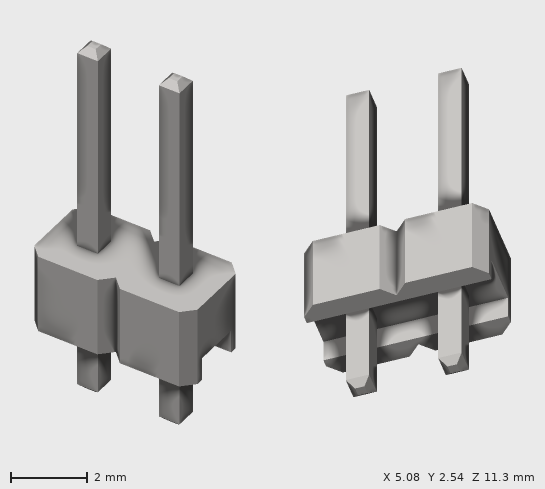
import cadquery as cq

pin_count = 2
pitch = 2.54

pin_length = 11.3
pin_width = 0.64
tip_width = 0.26
tip_height = 0.19
collar_width = 1.4

housing_bottom = 2.3
housing_height = 2.45
corner_chamfer = 0.35
slot_height = 0.71
slot_width = collar_width

housing_top = housing_bottom + housing_height
slot_ceiling = housing_bottom + slot_height
collar_height = housing_top - slot_ceiling


def square_bar(width, bottom, height):
    """Upright square bar centred on the Z axis."""
    return cq.Workplane("XY").workplane(offset=bottom).rect(width, width).extrude(height)


def pin_tip(base_z, end_z):
    """Truncated pyramid that narrows from the pin width to the tip width."""
    return (
        cq.Workplane("XY")
        .workplane(offset=base_z)
        .rect(pin_width, pin_width)
        .workplane(offset=end_z - base_z)
        .rect(tip_width, tip_width)
        .loft(ruled=True)
    )


def make_pin(x):
    """Square pin with tapered ends and a collar flush with the housing top."""
    shank = square_bar(pin_width, tip_height, pin_length - 2 * tip_height)
    lower_tip = pin_tip(tip_height, 0)
    upper_tip = pin_tip(pin_length - tip_height, pin_length)
    collar = square_bar(collar_width, slot_ceiling, collar_height)
    return shank.union(lower_tip).union(upper_tip).union(collar).translate((x, 0, 0))


def make_housing(x):
    """Chamfered block with a slot along X underneath and a square hole for the collar."""
    block = square_bar(pitch, housing_bottom, housing_height).edges("|Z").chamfer(corner_chamfer)
    slot = (
        cq.Workplane("XY")
        .workplane(offset=housing_bottom)
        .rect(pitch, slot_width)
        .extrude(slot_height)
    )
    collar_hole = square_bar(collar_width, slot_ceiling, collar_height)
    return block.cut(slot).cut(collar_hole).translate((x, 0, 0))


positions = [(i - (pin_count - 1) / 2) * pitch for i in range(pin_count)]
housings = [make_housing(x) for x in positions]
pins = [make_pin(x) for x in positions]

result = cq.Compound.makeCompound([body.val() for body in housings + pins])